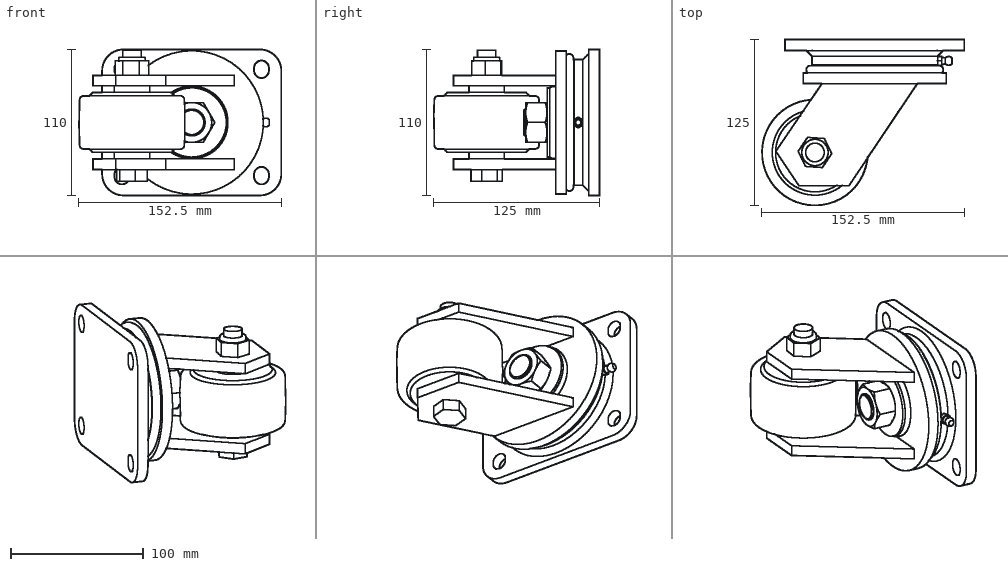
import cadquery as cq
import math


plate_length = 135.0
plate_width = 110.0
plate_thickness = 8.4
plate_corner_radius = 16.3
slot_pitch_x = 105.0
slot_pitch_z = 80.0
slot_width = 11.0
slot_length = 13.0

housing_radius = 47.4
housing_taper = 4.3
housing_bottom = 19.7
housing_chamfer = 0.6

kingpin_radius = 10.0
kingpin_chamfer = 0.9
kingpin_protrusion = 1.5
king_nut_flats = 30.0
king_nut_height = 16.0
king_washer_radius = 26.0
king_washer_top = 37.5
king_washer_bottom = 39.6

nipple_depth = 16.2
nipple_flats = 6.9
nipple_hex_length = 3.2
nipple_collar_radius = 2.9
nipple_neck_radius = 2.3
nipple_neck_length = 2.6
nipple_ball_radius = 3.4
nipple_ball_flare = 1.5
nipple_tip_radius = 2.1
nipple_tip_length = 1.0

fork_disc_radius = 54.0
fork_disc_top = 25.1
fork_disc_bottom = 33.2
upper_seal_radius = 51.7
upper_seal_rounding = 3.2
lower_seal_radius = 27.3
lower_seal_rounding = 3.7
lower_seal_widest = 34.7
leg_inner_z = 27.5
leg_thickness = 8.1
leg_root_left = -39.8
leg_root_right = 32.2
leg_corner_x = -74.4
leg_corner_depth = 84.1
leg_foot_left = -57.0
leg_foot_right = -19.4
leg_foot_depth = 110.0

axle_x = -45.0
wheel_radius = 40.0
tread_width = 40.1
tread_edge_radius = 39.3
tread_fillet = 3.0
rim_width = 45.1
rim_radius = 32.2
hub_radius = 13.4
overall_depth = 125.0

bolt_radius = 7.0
bolt_head_flats = 21.0
bolt_head_height = 8.8
bolt_head_angle = -18
bolt_end_z = 54.4
locknut_flats = 22.0
locknut_height = 10.8
locknut_angle = -4
locknut_collar_radius = 9.9
locknut_collar_height = 2.9
locknut_collar_fillet = 1.0

axle_y = wheel_radius - overall_depth
leg_outer_z = leg_inner_z + leg_thickness
king_nut_bottom = king_washer_bottom + king_nut_height
kingpin_end = king_nut_bottom + kingpin_protrusion


def swivel_cylinder(radius, top_depth, bottom_depth):
    """Cylinder on the swivel axis between two depths below the mounting face."""
    height = bottom_depth - top_depth
    return cq.Workplane("XZ", origin=(0, -top_depth, 0)).circle(radius).extrude(height)


def axle_cylinder(radius, bottom_z, top_z):
    """Cylinder on the wheel axle between two Z levels."""
    return cq.Workplane("XY", origin=(axle_x, axle_y, bottom_z)).circle(radius).extrude(top_z - bottom_z)


def axle_hexagon(flats, angle, bottom_z, height):
    """Hexagonal prism on the wheel axle with one corner at the given angle from +X."""
    corner_diameter = flats / math.cos(math.pi / 6)
    return (
        cq.Workplane("XY", origin=(axle_x, axle_y, bottom_z))
        .transformed(rotate=(0, 0, angle))
        .polygon(6, corner_diameter)
        .extrude(height)
    )


def make_top_plate():
    """Slotted plate with the tapered swivel housing and the kingpin."""
    plate = (
        cq.Workplane("XZ")
        .rect(plate_length, plate_width)
        .extrude(plate_thickness)
        .edges("|Y")
        .fillet(plate_corner_radius)
    )
    slots = (
        cq.Workplane("XZ")
        .rect(slot_pitch_x, slot_pitch_z, forConstruction=True)
        .vertices()
        .slot2D(slot_length, slot_width, 90)
        .extrude(plate_thickness)
    )
    housing = (
        cq.Workplane("XY")
        .moveTo(0, -plate_thickness)
        .lineTo(housing_radius + housing_taper, -plate_thickness)
        .lineTo(housing_radius, -plate_thickness - housing_taper)
        .lineTo(housing_radius, housing_chamfer - housing_bottom)
        .lineTo(housing_radius - housing_chamfer, -housing_bottom)
        .lineTo(0, -housing_bottom)
        .close()
        .revolve(360, (0, 0), (0, 1))
    )
    kingpin = swivel_cylinder(kingpin_radius, housing_bottom, kingpin_end).faces("<Y").chamfer(kingpin_chamfer)
    return plate.cut(slots).union(housing).union(kingpin)


def make_king_nut():
    """Washer-faced nut on the kingpin, its corners chamfered at both ends."""
    corner_radius = king_nut_flats / 2 / math.cos(math.pi / 6)
    hexagon = (
        cq.Workplane("XZ", origin=(0, -king_washer_bottom, 0))
        .polygon(6, 2 * corner_radius)
        .extrude(king_nut_height)
    )
    corner_run = corner_radius - king_nut_flats / 2
    corner_drop = corner_run * math.tan(math.pi / 6)
    corner_cone = swivel_cylinder(corner_radius, king_washer_bottom, king_nut_bottom)
    corner_cone = corner_cone.faces("<Y or >Y").chamfer(corner_drop, corner_run)
    washer = swivel_cylinder(king_washer_radius, king_washer_top, king_washer_bottom)
    bore = swivel_cylinder(kingpin_radius, king_washer_top, king_nut_bottom)
    return hexagon.intersect(corner_cone).union(washer).cut(bore)


def make_grease_nipple():
    """Ball-headed nipple on the +X side of the swivel housing."""
    corner_diameter = nipple_flats / math.cos(math.pi / 6)
    hexagon = (
        cq.Workplane("YZ", origin=(0, -nipple_depth, 0))
        .transformed(rotate=(0, 0, 90))
        .polygon(6, corner_diameter)
        .extrude(housing_radius + nipple_hex_length)
        .cut(swivel_cylinder(housing_radius, 0, housing_bottom))
    )
    neck_start = housing_radius + nipple_hex_length
    neck_end = neck_start + nipple_neck_length
    ball_centre = neck_end + math.sqrt(nipple_ball_radius**2 - nipple_neck_radius**2)
    flare_end = ball_centre + nipple_ball_flare
    flare_radius = math.sqrt(nipple_ball_radius**2 - nipple_ball_flare**2)
    head = (
        cq.Workplane("XY", origin=(0, -nipple_depth, 0))
        .moveTo(neck_start, 0)
        .lineTo(neck_start, nipple_collar_radius)
        .lineTo(neck_end, nipple_neck_radius)
        .threePointArc((ball_centre, nipple_ball_radius), (flare_end, flare_radius))
        .lineTo(flare_end + nipple_tip_length, nipple_tip_radius)
        .lineTo(flare_end + nipple_tip_length, 0)
        .close()
        .revolve(360, (0, 0), (1, 0))
    )
    return hexagon.union(head)


def make_upper_seal():
    """Round-edged ring between the swivel housing and the fork disc."""
    rounding_centre = upper_seal_radius - upper_seal_rounding
    widest = housing_bottom + upper_seal_rounding
    disc_offset = fork_disc_top - widest
    foot_radius = rounding_centre + math.sqrt(upper_seal_rounding**2 - disc_offset**2)
    return (
        cq.Workplane("XY")
        .moveTo(0, -housing_bottom)
        .lineTo(rounding_centre, -housing_bottom)
        .threePointArc((upper_seal_radius, -widest), (foot_radius, -fork_disc_top))
        .lineTo(0, -fork_disc_top)
        .close()
        .revolve(360, (0, 0), (0, 1))
    )


def make_lower_seal():
    """Round-edged ring between the fork disc and the kingpin washer."""
    rounding_centre = lower_seal_radius - lower_seal_rounding
    disc_offset = lower_seal_widest - fork_disc_bottom
    washer_offset = king_washer_top - lower_seal_widest
    root_radius = rounding_centre + math.sqrt(lower_seal_rounding**2 - disc_offset**2)
    tip_radius = rounding_centre + math.sqrt(lower_seal_rounding**2 - washer_offset**2)
    return (
        cq.Workplane("XY")
        .moveTo(0, -fork_disc_bottom)
        .lineTo(root_radius, -fork_disc_bottom)
        .threePointArc((lower_seal_radius, -lower_seal_widest), (tip_radius, -king_washer_top))
        .lineTo(0, -king_washer_top)
        .close()
        .revolve(360, (0, 0), (0, 1))
    )


def make_leg(bottom_z):
    """Raked fork leg, a flat plate."""
    outline = [
        (leg_root_left, -fork_disc_bottom),
        (leg_root_right, -fork_disc_bottom),
        (leg_foot_right, -leg_foot_depth),
        (leg_foot_left, -leg_foot_depth),
        (leg_corner_x, -leg_corner_depth),
    ]
    return cq.Workplane("XY", origin=(0, 0, bottom_z)).polyline(outline).close().extrude(leg_thickness)


def make_fork():
    """Swivel disc with its seal rings and two legs, bored for kingpin and axle."""
    fork = swivel_cylinder(fork_disc_radius, fork_disc_top, fork_disc_bottom)
    fork = fork.union(make_upper_seal()).union(make_lower_seal())
    for bottom_z in (-leg_outer_z, leg_inner_z):
        fork = fork.union(make_leg(bottom_z))
    kingpin_bore = swivel_cylinder(kingpin_radius, housing_bottom, king_washer_top)
    axle_bore = axle_cylinder(bolt_radius, -leg_outer_z, leg_outer_z)
    return fork.cut(kingpin_bore).cut(axle_bore)


def make_wheel():
    """Crowned tread on a rim with chamfered sides and a hub reaching both legs."""
    tread_half = tread_width / 2
    rim_half = rim_width / 2
    tread = (
        cq.Workplane("XZ")
        .moveTo(0, -tread_half)
        .lineTo(tread_edge_radius, -tread_half)
        .threePointArc((wheel_radius, 0), (tread_edge_radius, tread_half))
        .lineTo(0, tread_half)
        .close()
        .revolve(360, (0, 0), (0, 1))
        .faces("<Z or >Z")
        .edges()
        .fillet(tread_fillet)
        .translate((axle_x, axle_y, 0))
    )
    rim = axle_cylinder(rim_radius, -rim_half, rim_half)
    rim = rim.faces("<Z or >Z").chamfer(rim_half - tread_half)
    hub = axle_cylinder(hub_radius, -leg_inner_z, leg_inner_z)
    bore = axle_cylinder(bolt_radius, -leg_inner_z, leg_inner_z)
    return tread.union(rim).union(hub).cut(bore)


def make_axle_bolt():
    """Hexagon-head bolt put in from below through legs and wheel."""
    head = axle_hexagon(bolt_head_flats, bolt_head_angle, -leg_outer_z - bolt_head_height, bolt_head_height)
    return head.union(axle_cylinder(bolt_radius, -leg_outer_z, bolt_end_z))


def make_locknut():
    """Hexagon nut with a round collar, on the upper end of the axle bolt."""
    hexagon_top = leg_outer_z + locknut_height
    collar_top = hexagon_top + locknut_collar_height
    collar = axle_cylinder(locknut_collar_radius, hexagon_top, collar_top)
    collar = collar.faces(">Z").edges().fillet(locknut_collar_fillet)
    hexagon = axle_hexagon(locknut_flats, locknut_angle, leg_outer_z, locknut_height)
    return hexagon.union(collar).cut(axle_cylinder(bolt_radius, leg_outer_z, collar_top))


top_plate = make_top_plate()
king_nut = make_king_nut()
grease_nipple = make_grease_nipple()
fork = make_fork()
wheel = make_wheel()
axle_bolt = make_axle_bolt()
locknut = make_locknut()

result = cq.Compound.makeCompound(
    [
        top_plate.val(),
        king_nut.val(),
        grease_nipple.val(),
        fork.val(),
        wheel.val(),
        axle_bolt.val(),
        locknut.val(),
    ]
)